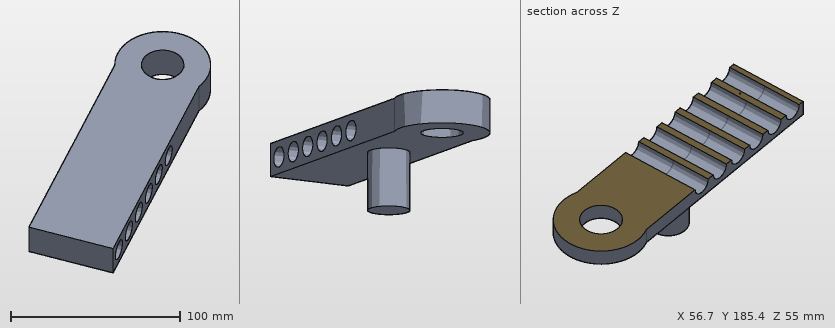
import cadquery as cq

total_length = 185.4
thickness = 20.0
bar_width = 53.0
head_diameter = 56.7
eye_diameter = 25.0
head_center_y = total_length - head_diameter / 2

pin_diameter = 25.0
pin_length = 35.0
pin_center_y = 94.0

cross_hole_diameter = 12.0
cross_hole_count = 6
cross_hole_pitch = 17.0
first_cross_hole_y = 10.0


def make_arm():
    bar = cq.Workplane("XY").box(bar_width, head_center_y, thickness, centered=(True, False, False))
    head = cq.Workplane("XY").center(0, head_center_y).circle(head_diameter / 2).extrude(thickness)
    eye = cq.Workplane("XY").center(0, head_center_y).circle(eye_diameter / 2).extrude(thickness)
    return bar.union(head).cut(eye)


def make_pin():
    return cq.Workplane("XY").center(0, pin_center_y).circle(pin_diameter / 2).extrude(-pin_length)


def make_cross_holes():
    centers = [
        (first_cross_hole_y + i * cross_hole_pitch, thickness / 2)
        for i in range(cross_hole_count)
    ]
    return (
        cq.Workplane("YZ")
        .pushPoints(centers)
        .circle(cross_hole_diameter / 2)
        .extrude(bar_width / 2, both=True)
    )


result = make_arm().union(make_pin()).cut(make_cross_holes())